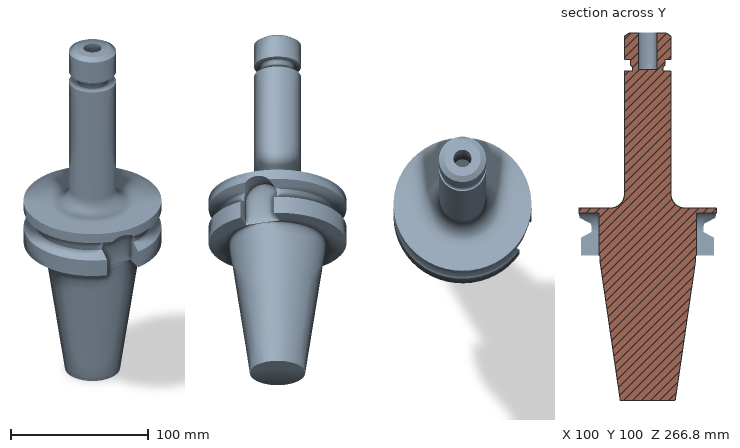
import cadquery as cq
import math

total_length = 266.8

taper_length = 102.0
gauge_diameter = 70.0
taper_ratio = 7 / 24
collar_length = 3.0

flange_diameter = 100.0
flange_height = 35.0
upper_rim_height = 7.5
groove_diameter = 85.0
groove_floor_height = 6.0
groove_wall_angle = 30.0

slot_width = 25.3
slot_floor_radius = 35.5
slot_top_margin = 4.0

stem_diameter = 34.2
stem_fillet = 10.0

nut_height = 19.5
nut_chamfer_height = 2.5
nut_face_diameter = 26.5
nut_collar_diameter = 25.0
nut_collar_height = 4.0
neck_diameter = 22.5
neck_length = 2.7
bore_diameter = 13.0
bore_depth = 26.7

flange_bottom = taper_length + collar_length
flange_top = flange_bottom + flange_height
nut_bottom = total_length - nut_height
nut_collar_bottom = nut_bottom - nut_collar_height
neck_shoulder_height = (nut_collar_diameter - neck_diameter) / 2
neck_top = nut_collar_bottom - neck_shoulder_height
stem_top = neck_top - neck_length


def make_turned_body():
    """Revolve the shank, flange, stem and nut as one half profile."""
    gauge_radius = gauge_diameter / 2
    small_end_radius = (gauge_diameter - taper_length * taper_ratio) / 2
    flange_radius = flange_diameter / 2
    groove_radius = groove_diameter / 2
    stem_radius = stem_diameter / 2
    nut_radius = stem_radius
    neck_radius = neck_diameter / 2
    nut_collar_radius = nut_collar_diameter / 2

    groove_depth = flange_radius - groove_radius
    groove_wall_height = groove_depth * math.tan(math.radians(groove_wall_angle))
    groove_top = flange_top - upper_rim_height
    floor_top = groove_top - groove_wall_height
    floor_bottom = floor_top - groove_floor_height
    groove_bottom = floor_bottom - groove_wall_height

    fillet_middle = stem_fillet * (1 - math.sqrt(0.5))

    profile = (
        cq.Workplane("XZ")
        .lineTo(small_end_radius, 0)
        .lineTo(gauge_radius, taper_length)
        .lineTo(gauge_radius, flange_bottom)
        .lineTo(flange_radius, flange_bottom)
        .lineTo(flange_radius, groove_bottom)
        .lineTo(groove_radius, floor_bottom)
        .lineTo(groove_radius, floor_top)
        .lineTo(flange_radius, groove_top)
        .lineTo(flange_radius, flange_top)
        .lineTo(stem_radius + stem_fillet, flange_top)
        .threePointArc(
            (stem_radius + fillet_middle, flange_top + fillet_middle),
            (stem_radius, flange_top + stem_fillet),
        )
        .lineTo(stem_radius, stem_top)
        .lineTo(neck_radius, stem_top)
        .lineTo(neck_radius, neck_top)
        .lineTo(nut_collar_radius, nut_collar_bottom)
        .lineTo(nut_collar_radius, nut_bottom)
        .lineTo(nut_radius, nut_bottom)
        .lineTo(nut_radius, total_length - nut_chamfer_height)
        .lineTo(nut_face_diameter / 2, total_length)
        .lineTo(0, total_length)
        .close()
    )
    return profile.revolve(360, (0, 0, 0), (0, 1, 0))


def make_drive_slot(side):
    """Round-topped slot cutter, open at the flange bottom; side is -1 or +1."""
    half_width = slot_width / 2
    slot_top = flange_top - slot_top_margin
    arc_center = slot_top - half_width
    cut_depth = flange_diameter / 2 - slot_floor_radius
    return (
        cq.Workplane("YZ", origin=(side * slot_floor_radius, 0, 0))
        .moveTo(-half_width, flange_bottom)
        .lineTo(half_width, flange_bottom)
        .lineTo(half_width, arc_center)
        .threePointArc((0, slot_top), (-half_width, arc_center))
        .close()
        .extrude(side * cut_depth)
    )


def make_bore():
    """Blind bore entering the nut from its top face."""
    return (
        cq.Workplane("XY", origin=(0, 0, total_length - bore_depth))
        .circle(bore_diameter / 2)
        .extrude(bore_depth)
    )


result = make_turned_body().cut(make_bore())
for slot_side in (-1, 1):
    result = result.cut(make_drive_slot(slot_side))